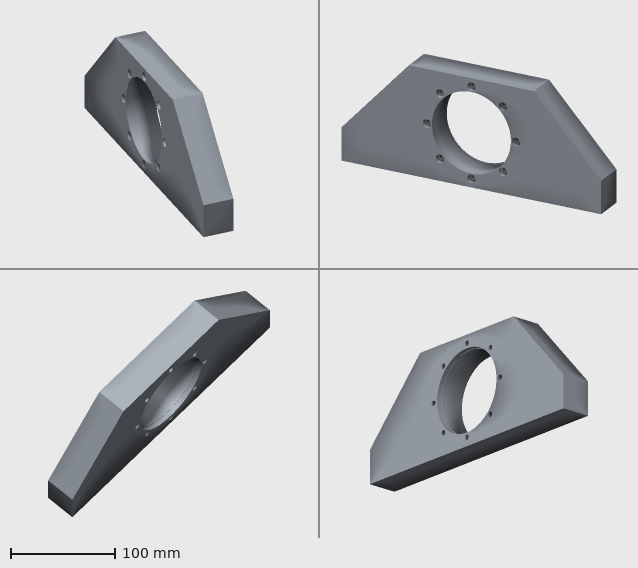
import cadquery as cq

length = 280.0
thickness = 31.5
height = 114.0
top_length = 135.0
side_height = 35.0

bore_diameter = 85.0
recess_diameter = 86.0
recess_depth = 5.0

hole_count = 8
hole_circle_diameter = 96.0
hole_diameter = 5.5
counterbore_diameter = 9.0
counterbore_depth = 5.0


def make_plate():
    """Plate with sloped shoulders, centred on X and Z, front face at Y = 0."""
    bottom = -height / 2
    top = height / 2
    shoulder = bottom + side_height
    outline = [
        (-length / 2, bottom),
        (length / 2, bottom),
        (length / 2, shoulder),
        (top_length / 2, top),
        (-top_length / 2, top),
        (-length / 2, shoulder),
    ]
    return cq.Workplane("XZ").polyline(outline).close().extrude(-thickness)


def screw_cylinders(diameter, start, depth):
    """Ring of cylinders along +Y, one at each screw position, starting at Y = start."""
    return (
        cq.Workplane("XZ", origin=(0, start, 0))
        .polarArray(hole_circle_diameter / 2, 0, 360, hole_count)
        .circle(diameter / 2)
        .extrude(-depth)
    )


def central_cylinder(diameter, start, depth):
    """Cylinder along +Y on the bore axis, starting at Y = start."""
    return cq.Workplane("XZ", origin=(0, start, 0)).circle(diameter / 2).extrude(-depth)


result = (
    make_plate()
    .cut(central_cylinder(bore_diameter, 0, thickness))
    .cut(central_cylinder(recess_diameter, thickness - recess_depth, recess_depth))
    .cut(screw_cylinders(hole_diameter, 0, thickness))
    .cut(screw_cylinders(counterbore_diameter, 0, counterbore_depth))
)